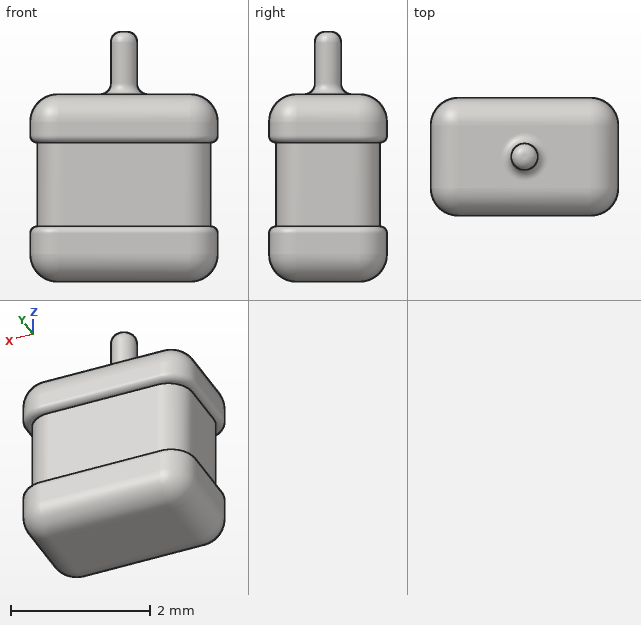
import cadquery as cq
import math

overall_height = 3.6
end_length = 2.7
end_width = 1.7
block_height = 2.7
end_radius = 0.4

base_height = 0.8
cap_height = 0.7
waist_inset = 0.1
waist_corner_radius = 0.38
inner_rim_radius = waist_inset

pin_diameter = 0.38
pin_round = 0.15


def rounded_block(length, width, height, corner_radius, bottom):
    """Upright block with rounded vertical corners, centred on the Z axis."""
    return (
        cq.Workplane("XY", origin=(0, 0, bottom))
        .rect(length, width)
        .extrude(height)
        .edges("|Z")
        .fillet(corner_radius)
    )


def end_cap(height, bottom, outer_rim, inner_rim):
    """End cap with a large round on its outer rim and a small one facing the waist."""
    cap = rounded_block(end_length, end_width, height, end_radius, bottom)
    cap = cap.faces(inner_rim).edges().fillet(inner_rim_radius)
    return cap.faces(outer_rim).edges().fillet(end_radius)


def pin():
    """Round pin with a domed tip that keeps a small flat, and a concave flare at its root."""
    radius = pin_diameter / 2
    flat_radius = radius - pin_round
    root_radius = radius + pin_round
    arc_offset = pin_round * math.sqrt(0.5)
    sunk = block_height - cap_height / 2
    profile = (
        cq.Workplane("XZ")
        .moveTo(0, sunk)
        .lineTo(root_radius, sunk)
        .lineTo(root_radius, block_height)
        .threePointArc(
            (root_radius - arc_offset, block_height + pin_round - arc_offset),
            (radius, block_height + pin_round),
        )
        .lineTo(radius, overall_height - pin_round)
        .threePointArc(
            (flat_radius + arc_offset, overall_height - pin_round + arc_offset),
            (flat_radius, overall_height),
        )
        .lineTo(0, overall_height)
        .close()
    )
    return profile.revolve(axisStart=(0, 0), axisEnd=(0, 1))


base = end_cap(base_height, 0, "<Z", ">Z")
cap = end_cap(cap_height, block_height - cap_height, ">Z", "<Z")
waist = rounded_block(
    end_length - 2 * waist_inset,
    end_width - 2 * waist_inset,
    block_height - base_height - cap_height,
    waist_corner_radius,
    base_height,
)

result = base.union(waist).union(cap).union(pin())